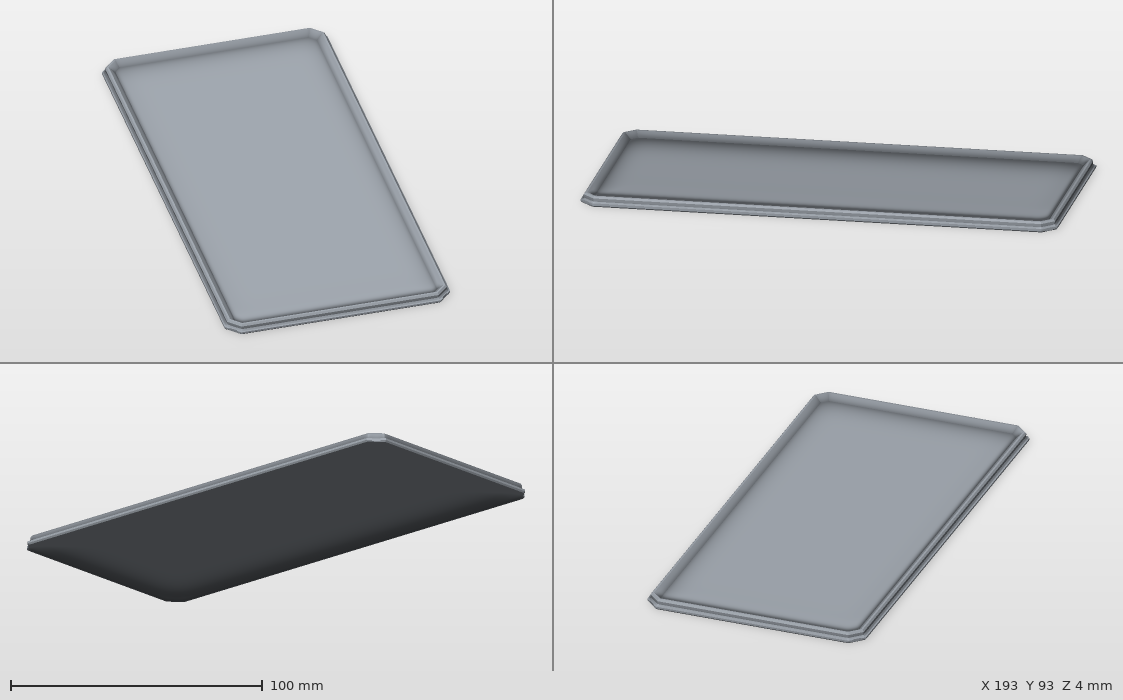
import cadquery as cq
import math

LENGTH = 193
WIDTH = 93.0
HEIGHT = 4.0
CORNER_CUT = 5.5

BASE_INSET = 0.5
FLANGE_BOTTOM = 0.5
FLANGE_TOP = 1.4

FOOT_INSET = 0.8
WALL_INSET = 1.4
WALL_HEIGHT = 2.0
SHOULDER_INSET = 1.2
SHOULDER_HEIGHT = 3.3
RIM_OUTER_INSET = 1.7
RIM_INNER_INSET = 2.5

FLOOR_INSET = 5.0
FLOOR_HEIGHT = 1.7

NOTCH_WIDTH = 3.5
NOTCH_DEPTH = 0.4

CUT_SHRINK = 2 - math.sqrt(2)


def outline(inset, height):
    """Closed eight-sided wire parallel to the outermost outline."""
    x = LENGTH / 2 - inset
    y = WIDTH / 2 - inset
    cut = CORNER_CUT - CUT_SHRINK * inset
    points = [
        (x, y - cut), (x - cut, y), (cut - x, y), (-x, y - cut),
        (-x, cut - y), (cut - x, -y), (x - cut, -y), (x, cut - y),
    ]
    return cq.Wire.makePolygon([cq.Vector(px, py, height) for px, py in points], close=True)


def layer(lower_inset, lower_height, upper_inset, upper_height):
    """Solid between two parallel outlines, with flat sides."""
    wires = [outline(lower_inset, lower_height), outline(upper_inset, upper_height)]
    return cq.Workplane(cq.Solid.makeLoft(wires, True))


def corner_notch(x_side, y_side):
    """Cutter centred on one corner cut, reaching inward by the notch depth."""
    middle_x = x_side * (LENGTH - CORNER_CUT) / 2
    middle_y = y_side * (WIDTH - CORNER_CUT) / 2
    block = cq.Workplane().box(2 * NOTCH_DEPTH, NOTCH_WIDTH, HEIGHT, centered=(True, True, False))
    angle = 45 * x_side * y_side
    return block.rotate((0, 0, 0), (0, 0, 1), angle).translate((middle_x, middle_y, 0))


skirt = layer(BASE_INSET, 0, 0, FLANGE_BOTTOM).union(layer(0, FLANGE_BOTTOM, 0, FLANGE_TOP))
foot_slope = layer(FOOT_INSET, FLANGE_TOP, WALL_INSET, WALL_HEIGHT)
skirt = skirt.union(foot_slope)
for x_side in (-1, 1):
    for y_side in (-1, 1):
        skirt = skirt.cut(corner_notch(x_side, y_side))

wall = layer(WALL_INSET, WALL_HEIGHT, SHOULDER_INSET, SHOULDER_HEIGHT)
rim = layer(SHOULDER_INSET, SHOULDER_HEIGHT, RIM_OUTER_INSET, HEIGHT)

recess = layer(FLOOR_INSET, FLOOR_HEIGHT, RIM_INNER_INSET, HEIGHT)

result = skirt.union(wall).union(rim).cut(recess)